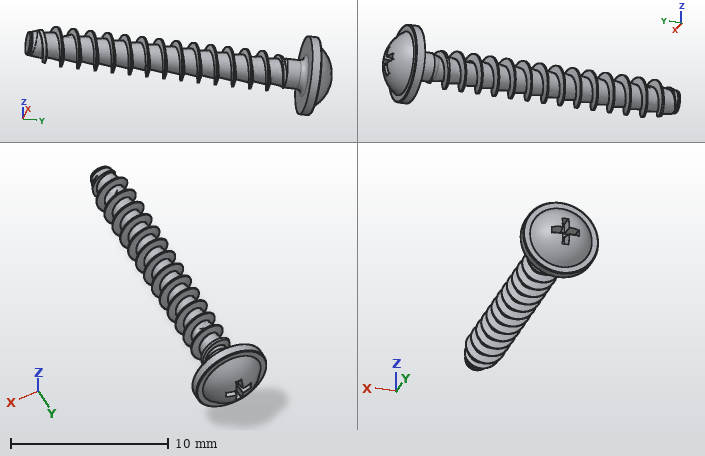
import cadquery as cq
import math

total_length = 19.77

flange_diameter = 5.0
flange_radius = flange_diameter / 2
flange_thickness = 0.61
flange_edge = 0.05
dome_radius = 2.05
dome_sphere_radius = 2.4
neck_fillet = 0.42

recess_width = 0.45
recess_length = 1.85
recess_depth = 0.8
recess_taper = 8.0


def dome_drop(radius):
    """Fall of the dome below its apex at a distance from the axis."""
    return dome_sphere_radius - math.sqrt(dome_sphere_radius**2 - radius**2)


apex_height = flange_thickness + dome_drop(dome_radius)
head_height = apex_height - dome_drop(math.hypot(recess_width / 2, recess_width / 2))

screw_depth = total_length - head_height
shank_radius = 0.93
shank_end = 1.25
core_radius = 0.75
core_start = 1.7
tip_radius = 0.71
tip_chamfer_length = 0.1

twelve_turn_length = 13.45
pitch = twelve_turn_length / 12
thread_radius = 1.25
first_crest = 0.4
thread_turns = 16
crest_width = 0.1
head_flank_width = 0.12
tip_flank_width = 0.08
buried_radius = 0.63
root_high_radius = 0.87
root_low_radius = 0.77
root_gap = 0.02
runout_start_radius = 0.97
runout_end_radius = 0.7
clear_radius = 1.38
head_runout_length = 1.58
tip_runout_length = 1.98


def make_blank():
    """Head, neck and unthreaded core as one turned body."""
    mid_radius = dome_radius / 2
    neck_mid = neck_fillet * (1 - math.sqrt(0.5))
    profile = (
        cq.Workplane("XZ")
        .moveTo(0, -apex_height)
        .threePointArc((mid_radius, dome_drop(mid_radius) - apex_height), (dome_radius, -flange_thickness))
        .lineTo(flange_radius - flange_edge, -flange_thickness)
        .lineTo(flange_radius, flange_edge - flange_thickness)
        .lineTo(flange_radius, 0)
        .lineTo(shank_radius + neck_fillet, 0)
        .threePointArc((shank_radius + neck_mid, neck_mid), (shank_radius, neck_fillet))
        .lineTo(shank_radius, shank_end)
        .lineTo(core_radius, core_start)
        .lineTo(core_radius, screw_depth - tip_chamfer_length)
        .lineTo(tip_radius, screw_depth)
        .lineTo(0, screw_depth)
        .close()
    )
    return profile.revolve(360, (0, 0, 0), (0, 1, 0))


def make_thread():
    """Helical ridge whose root falls away towards the tip, trimmed by its run-outs."""
    half_crest = crest_width / 2
    head_base = half_crest + head_flank_width
    tip_base = half_crest + tip_flank_width
    helix = cq.Wire.makeHelix(pitch, pitch * thread_turns, core_radius)
    section = cq.Workplane("XZ").polyline([
        (buried_radius, -head_base),
        (root_low_radius, -head_base),
        (thread_radius, -half_crest),
        (thread_radius, half_crest),
        (root_high_radius, tip_base),
        (root_low_radius, pitch - head_base - root_gap),
        (buried_radius, pitch - head_base - root_gap),
    ]).close()
    ridge = section.sweep(cq.Workplane(helix), isFrenet=True).translate((0, 0, first_crest))
    envelope = (
        cq.Workplane("XZ")
        .polyline([
            (0, shank_end),
            (runout_start_radius, shank_end),
            (clear_radius, shank_end + head_runout_length),
            (clear_radius, screw_depth - tip_runout_length),
            (runout_end_radius, screw_depth),
            (0, screw_depth),
        ])
        .close()
        .revolve(360, (0, 0, 0), (0, 1, 0))
    )
    return ridge.intersect(envelope)


def make_recess():
    """Tapered cross cut down into the crown of the dome."""
    crown = cq.Workplane("XY", origin=(0, 0, -apex_height))
    along_x = crown.rect(recess_length, recess_width).extrude(recess_depth, taper=recess_taper)
    along_y = crown.rect(recess_width, recess_length).extrude(recess_depth, taper=recess_taper)
    return along_x.union(along_y)


screw = make_blank().cut(make_recess()).union(make_thread())

result = screw.rotate((0, 0, 0), (1, 0, 0), 90).solids()